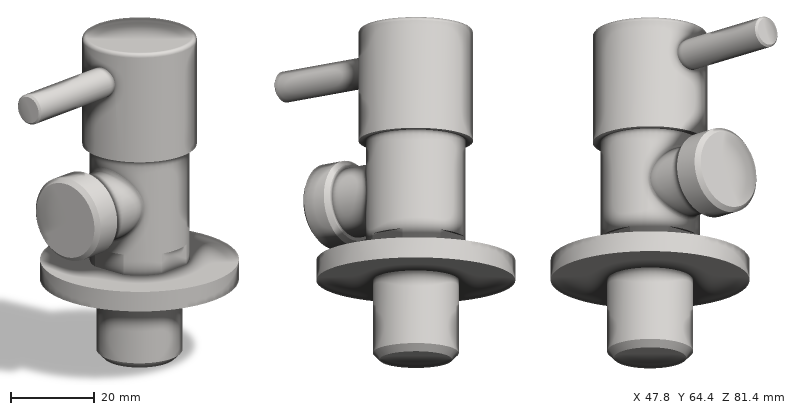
import cadquery as cq

total_height = 81.4
flange_bottom = 19.5
flange_thickness = 5.0
flats_height = 5.1
handle_bottom = 53.9
outlet_height = 41.4
lever_height = 73.0

inlet_radius = 10.3
inlet_chamfer = 1.6
flange_diameter = 47.8
flange_radius = flange_diameter / 2
barrel_radius = 12.0
flat_distance = 11.1
flat_count = 4

outlet_reach = 27.0
neck_radius = 8.5
neck_fillet = 0.7
collar_radius = 10.3
collar_length = 8.1
collar_chamfer = 1.05

cap_radius = 13.75
cap_fillet = 1.0
lever_radius = 3.75
overall_depth = 64.4
lever_reach = overall_depth - flange_radius
lever_chamfer = 0.5

flange_top = flange_bottom + flange_thickness


def upright_cylinder(radius, bottom, top):
    return cq.Workplane("XY").workplane(offset=bottom).circle(radius).extrude(top - bottom)


def forward_cylinder(radius, height, start, end):
    """Horizontal cylinder running toward -Y between two distances from the axis."""
    return (
        cq.Workplane("XZ", origin=(0, -start, height))
        .circle(radius)
        .extrude(end - start)
    )


def make_barrel():
    """Barrel and outlet neck, with a fillet around their junction."""
    barrel = upright_cylinder(barrel_radius, flange_top, handle_bottom)
    neck = forward_cylinder(neck_radius, outlet_height, 0, outlet_reach - collar_length)
    joined = barrel.union(neck)
    junction_box = cq.selectors.BoxSelector(
        (-neck_radius, -barrel_radius, outlet_height - neck_radius),
        (neck_radius, -neck_fillet, outlet_height + neck_radius),
    )
    return joined.edges(junction_box).edges("not %LINE").fillet(neck_fillet)


def cut_wrench_flats(barrel):
    """Cut equally spaced flats into the foot of the barrel."""
    depth = barrel_radius - flat_distance
    cutter = (
        cq.Workplane("XY", origin=(flat_distance, 0, flange_top))
        .box(depth, 2 * barrel_radius, flats_height, centered=(False, True, False))
    )
    for index in range(flat_count):
        angle = index * 360 / flat_count
        barrel = barrel.cut(cutter.rotate((0, 0, 0), (0, 0, 1), angle))
    return barrel


def make_valve_body():
    inlet = upright_cylinder(inlet_radius, 0, flange_bottom).faces("<Z").chamfer(inlet_chamfer)
    flange = upright_cylinder(flange_radius, flange_bottom, flange_top)
    collar_start = outlet_reach - collar_length
    collar = forward_cylinder(collar_radius, outlet_height, collar_start, outlet_reach)
    collar = collar.faces("<Y or >Y").chamfer(collar_chamfer)
    barrel = cut_wrench_flats(make_barrel())
    return barrel.union(collar).union(flange).union(inlet)


def make_handle():
    cap = upright_cylinder(cap_radius, handle_bottom, total_height).faces(">Z").edges().fillet(cap_fillet)
    lever = forward_cylinder(lever_radius, lever_height, 0, lever_reach)
    lever = lever.faces("<Y").chamfer(lever_chamfer)
    return cap.union(lever)


valve_body = make_valve_body()
handle = make_handle()

result = cq.Compound.makeCompound([valve_body.val(), handle.val()])